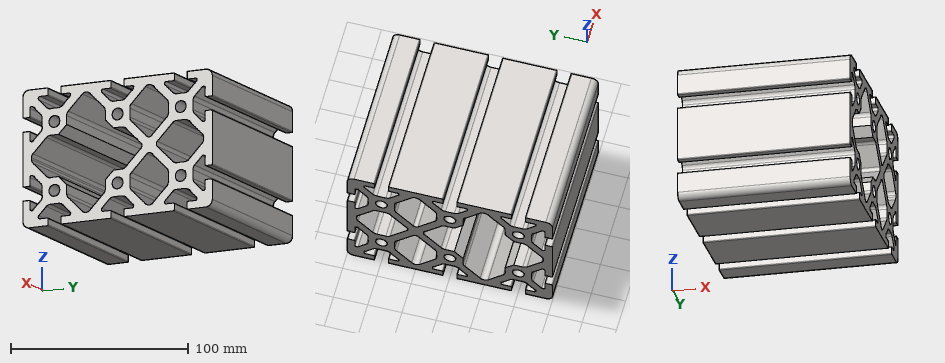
import cadquery as cq
import math

LENGTH = 100.0
MODULE = 40.0
WIDTH = 3 * MODULE
HEIGHT = 2 * MODULE
OUTER_CORNER_RADIUS = 4.0

CORE_Y = [-MODULE, 0.0, MODULE]
CORE_Z = [-MODULE / 2, MODULE / 2]
CORE_HOLE_DIAMETER = 6.8
CORE_FLAT_HALF = 4.05
CORE_FILLET = 3.5
CORE_CHAMFER = 5.15

SLOT_OPENING = 8.1
SLOT_DEPTH = 12.25
LIP_THICKNESS = 4.5
LIP_FILLET = 0.5
SLOT_CORNER_RADIUS = 1.1

SIDE_WALL = 5.5
WALL_FILLET = 3.0
OUTER_TIP_RADIUS = 3.25
INNER_TIP_RADIUS = 2.0

CORE_HALF = MODULE / 2 - SLOT_DEPTH
WEB_OFFSET = CORE_HALF - CORE_FLAT_HALF
CELL_HALF = MODULE / 2 - CORE_HALF
TIP_REACH = MODULE / 2 - WEB_OFFSET


def end_sketch():
    """YZ sketch plane at the -X end of the bar."""
    return cq.Workplane("YZ", origin=(-LENGTH / 2, 0, 0))


def rounded_outline(corners):
    """Closed YZ outline through (y, z, radius) corners; a zero radius keeps the corner sharp."""
    stretches = []
    for i, (y, z, radius) in enumerate(corners):
        corner = cq.Vector(y, z)
        before = cq.Vector(*corners[i - 1][:2])
        after = cq.Vector(*corners[(i + 1) % len(corners)][:2])
        if radius == 0:
            stretches.append([corner])
            continue
        to_before = (before - corner).normalized()
        to_after = (after - corner).normalized()
        half_angle = to_before.getAngle(to_after) / 2
        tangent = radius / math.tan(half_angle)
        sagitta = radius / math.sin(half_angle) - radius
        middle = corner + (to_before + to_after).normalized() * sagitta
        stretches.append([corner + to_before * tangent, middle, corner + to_after * tangent])

    outline = end_sketch().moveTo(*stretches[0][-1].toTuple()[:2])
    for stretch in stretches[1:] + stretches[:1]:
        outline = outline.lineTo(*stretch[0].toTuple()[:2])
        if len(stretch) > 1:
            outline = outline.threePointArc(stretch[1].toTuple()[:2], stretch[2].toTuple()[:2])
    return outline.close()


def prism(corners):
    """Full-length bar with the given rounded outline."""
    return rounded_outline(corners).extrude(LENGTH)


def mirrored(half):
    """Completes corners on one side of the Z axis with their mirror images."""
    return half + [(-y, z, radius) for y, z, radius in reversed(half)]


def slot_cutter():
    """T-slot opening toward +Z, with the origin at the middle of its mouth."""
    mouth = SLOT_OPENING / 2
    undercut = MODULE / 2 - LIP_THICKNESS - WEB_OFFSET
    cutter = prism(
        mirrored(
            [
                (mouth, 0, 0),
                (mouth, -LIP_THICKNESS, 0),
                (undercut, -LIP_THICKNESS, SLOT_CORNER_RADIUS),
                (CORE_FLAT_HALF, -SLOT_DEPTH, CORE_FILLET),
            ]
        )
    )
    for side in (-1, 1):
        cutter = cutter.union(lip_rounding(side, mouth, 0, -1))
        cutter = cutter.union(lip_rounding(side, mouth, -LIP_THICKNESS, 1))
    return cutter


def lip_rounding(side, mouth, z, direction):
    """Sliver that rounds one lip edge; the lip lies outward from the mouth and along `direction` in Z."""
    radius = LIP_FILLET
    diagonal = radius * (1 - math.sqrt(0.5))
    return (
        end_sketch()
        .moveTo(side * mouth, z)
        .lineTo(side * (mouth + radius), z)
        .threePointArc(
            (side * (mouth + diagonal), z + direction * diagonal),
            (side * mouth, z + direction * radius),
        )
        .close()
        .extrude(LENGTH)
    )


def cut_slots(bar):
    slot = slot_cutter()
    for y in CORE_Y:
        bar = bar.cut(slot.translate((0, y, HEIGHT / 2)))
        bar = bar.cut(slot.rotate((0, 0, 0), (1, 0, 0), 180).translate((0, y, -HEIGHT / 2)))
    for z in CORE_Z:
        bar = bar.cut(slot.rotate((0, 0, 0), (1, 0, 0), -90).translate((0, WIDTH / 2, z)))
        bar = bar.cut(slot.rotate((0, 0, 0), (1, 0, 0), 90).translate((0, -WIDTH / 2, z)))
    return bar


def cut_core_holes(bar):
    centres = [(y, z) for y in CORE_Y for z in CORE_Z]
    holes = (
        end_sketch()
        .pushPoints(centres)
        .circle(CORE_HOLE_DIAMETER / 2)
        .extrude(LENGTH)
    )
    return bar.cut(holes)


def cut_diamond_cavities(bar):
    """Upper and lower cavities between the middle and +Y core columns."""
    cavity = prism(
        [
            (CELL_HALF, -CORE_FLAT_HALF, CORE_FILLET),
            (CELL_HALF, CORE_FLAT_HALF, CORE_FILLET),
            (0, TIP_REACH, OUTER_TIP_RADIUS),
            (-CELL_HALF, CORE_FLAT_HALF, CORE_FILLET),
            (-CELL_HALF, -CORE_FLAT_HALF, CORE_FILLET),
            (0, -TIP_REACH, INNER_TIP_RADIUS),
        ]
    )
    cavity = cavity.translate((0, MODULE / 2, MODULE / 2))
    return bar.cut(cavity).cut(cavity.mirror("XY"))


def cut_side_cavity(bar):
    """Cavity against the +Y wall, between the upper and lower cores."""
    wall_y = WIDTH / 2 - SIDE_WALL
    wall_half = SIDE_WALL - WEB_OFFSET
    cavity = prism(
        [
            (wall_y, -wall_half, WALL_FILLET),
            (wall_y, wall_half, WALL_FILLET),
            (MODULE + CORE_FLAT_HALF, CELL_HALF, CORE_FILLET),
            (MODULE - CORE_FLAT_HALF, CELL_HALF, CORE_FILLET),
            (MODULE - TIP_REACH, 0, INNER_TIP_RADIUS),
            (MODULE - CORE_FLAT_HALF, -CELL_HALF, CORE_FILLET),
            (MODULE + CORE_FLAT_HALF, -CELL_HALF, CORE_FILLET),
        ]
    )
    return bar.cut(cavity)


def cut_large_cavity(bar):
    """Open cavity between the middle and -Y core columns, with bevelled core corners facing it."""
    wall_y = -WIDTH / 2 + SIDE_WALL
    wall_half = SIDE_WALL - WEB_OFFSET
    bevel_start = CORE_HALF - CORE_CHAMFER
    bevel_z = MODULE / 2 - bevel_start
    upper = [
        (CORE_FLAT_HALF, CELL_HALF, CORE_FILLET),
        (-bevel_start, CELL_HALF, 0),
        (-CORE_HALF, bevel_z, 0),
        (-CORE_HALF, MODULE / 2 + CORE_FLAT_HALF, CORE_FILLET),
        (-MODULE / 2, MODULE / 2 + TIP_REACH, OUTER_TIP_RADIUS),
        (-MODULE + CORE_HALF, MODULE / 2 + CORE_FLAT_HALF, CORE_FILLET),
        (-MODULE + CORE_HALF, bevel_z, 0),
        (-MODULE + bevel_start, CELL_HALF, 0),
        (-MODULE - CORE_FLAT_HALF, CELL_HALF, CORE_FILLET),
        (wall_y, wall_half, WALL_FILLET),
    ]
    lower = [(y, -z, radius) for y, z, radius in reversed(upper)]
    return bar.cut(prism([(TIP_REACH, 0, INNER_TIP_RADIUS)] + upper + lower))


bar = cq.Workplane("XY").box(LENGTH, WIDTH, HEIGHT).edges("|X").fillet(OUTER_CORNER_RADIUS)
bar = cut_slots(bar)
bar = cut_core_holes(bar)
bar = cut_diamond_cavities(bar)
bar = cut_side_cavity(bar)
result = cut_large_cavity(bar)